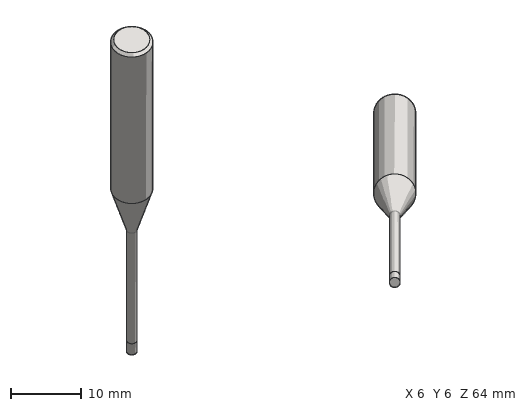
import cadquery as cq

total_length = 64.0
tip_length = 2.3
neck_top = 25.0
shank_bottom = 33.5

shank_diameter = 6.0
neck_diameter = 1.55
chamfer_width = 0.45

shank_radius = shank_diameter / 2
neck_radius = neck_diameter / 2


def make_tip():
    """Short cutting tip at the lower end of the neck."""
    return cq.Workplane("XY").circle(neck_radius).extrude(tip_length)


def make_neck():
    """Slender neck that flares as a cone up to the shank diameter."""
    return (
        cq.Workplane("XZ")
        .moveTo(0, tip_length)
        .lineTo(neck_radius, tip_length)
        .lineTo(neck_radius, neck_top)
        .lineTo(shank_radius, shank_bottom)
        .lineTo(0, shank_bottom)
        .close()
        .revolve(360, (0, 0), (0, 1))
    )


def make_shank():
    """Cylindrical shank with a chamfered top edge."""
    return (
        cq.Workplane("XY")
        .workplane(offset=shank_bottom)
        .circle(shank_radius)
        .extrude(total_length - shank_bottom)
        .faces(">Z")
        .edges()
        .chamfer(chamfer_width)
    )


tip = make_tip()
neck = make_neck()
shank = make_shank()

result = cq.Compound.makeCompound([tip.val(), neck.val(), shank.val()])